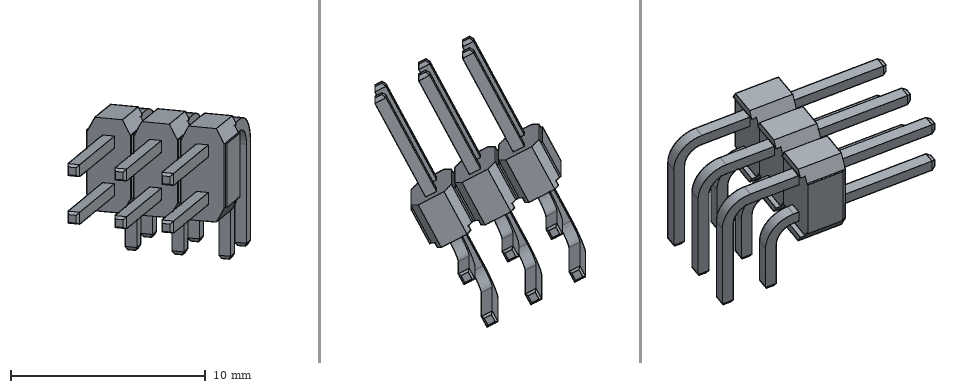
import cadquery as cq


module_count = 3
overall_width = 7.62
overall_length = 12.56
overall_height = 8.04
pitch = overall_width / module_count

block_width = 2.35
block_top_width = 1.5
block_depth = 2.54
block_height = 5.0
block_side_height = 3.42
rear_channel_depth = 0.28
rear_channel_lip = 0.43
side_pad_setback = 0.2

pin_size = 0.64
bend_inner_radius = 1.0
bend_outer_radius = bend_inner_radius + pin_size
pin_front_projection = 5.8
tip_inset = 0.11
front_tip_length = 0.23
foot_tip_length = 0.2

block_front_y = -block_depth / 2
block_rear_y = block_depth / 2
channel_floor_y = block_rear_y - rear_channel_depth
front_end_y = block_front_y - pin_front_projection
rear_end_y = front_end_y + overall_length
foot_end_z = block_height / 2 - overall_height


def make_block():
    """Octagonal block with a rear channel and a thin pad on each side."""
    half_width = block_width / 2
    half_top = block_top_width / 2
    half_height = block_height / 2
    half_side = block_side_height / 2
    block = (
        cq.Workplane("XZ", origin=(0, block_rear_y, 0))
        .polyline([
            (-half_top, half_height),
            (half_top, half_height),
            (half_width, half_side),
            (half_width, -half_side),
            (half_top, -half_height),
            (-half_top, -half_height),
            (-half_width, -half_side),
            (-half_width, half_side),
        ])
        .close()
        .extrude(block_depth)
    )
    channel_height = block_height - 2 * rear_channel_lip
    channel = cq.Workplane("XY").box(
        block_width, rear_channel_depth, channel_height
    ).translate((0, block_rear_y - rear_channel_depth / 2, 0))
    pad_front_y = block_front_y + side_pad_setback
    pad_depth = channel_floor_y - pad_front_y
    pads = cq.Workplane("XY").box(pitch, pad_depth, block_side_height).translate(
        (0, (pad_front_y + channel_floor_y) / 2, 0)
    )
    return block.cut(channel).union(pads)


def make_tip(end_plane, length):
    """Square taper from the full pin section down to the blunt end of the pin."""
    end_size = pin_size - 2 * tip_inset
    return (
        cq.Workplane(end_plane)
        .rect(pin_size, pin_size)
        .workplane(offset=length)
        .rect(end_size, end_size)
        .loft(ruled=True)
    )


def make_pin(pin_z, leg_y):
    """Square pin along Y at height pin_z, bent down into a leg centred on leg_y."""
    half_pin = pin_size / 2
    shaft_start_y = front_end_y + front_tip_length
    foot_start_z = foot_end_z + foot_tip_length
    shaft = (
        cq.Workplane("YZ", origin=(-half_pin, 0, 0))
        .moveTo(shaft_start_y, pin_z + half_pin)
        .lineTo(leg_y + half_pin - bend_outer_radius, pin_z + half_pin)
        .radiusArc((leg_y + half_pin, pin_z + half_pin - bend_outer_radius), bend_outer_radius)
        .lineTo(leg_y + half_pin, foot_start_z)
        .lineTo(leg_y - half_pin, foot_start_z)
        .lineTo(leg_y - half_pin, pin_z - half_pin - bend_inner_radius)
        .radiusArc((leg_y - half_pin - bend_inner_radius, pin_z - half_pin), -bend_inner_radius)
        .lineTo(shaft_start_y, pin_z - half_pin)
        .close()
        .extrude(pin_size)
    )
    front_plane = cq.Plane(origin=(0, shaft_start_y, pin_z), xDir=(1, 0, 0), normal=(0, -1, 0))
    foot_plane = cq.Plane(origin=(0, leg_y, foot_start_z), xDir=(1, 0, 0), normal=(0, 0, -1))
    front_tip = make_tip(front_plane, front_tip_length)
    foot_tip = make_tip(foot_plane, foot_tip_length)
    return shaft.union(front_tip).union(foot_tip)


def make_module(center_x):
    """Block and its two pins as one solid; the rows are one pitch apart in Z and in Y."""
    upper_leg_y = rear_end_y - pin_size / 2
    upper_pin = make_pin(pitch / 2, upper_leg_y)
    lower_pin = make_pin(-pitch / 2, upper_leg_y - pitch)
    return make_block().union(upper_pin).union(lower_pin).translate((center_x, 0, 0))


modules = []
for index in range(module_count):
    module_x = (index - (module_count - 1) / 2) * pitch
    modules.append(make_module(module_x).val())

result = cq.Compound.makeCompound(modules)